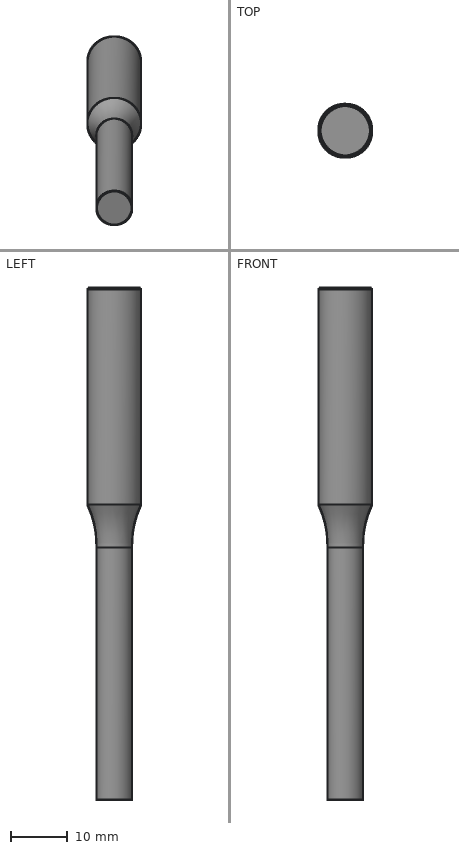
import cadquery as cq
import math

overall_length = 90.47
shank_diameter = 9.525
shank_length = 38.35
shank_chamfer = 0.4
cutter_diameter = 6.35
cutter_length = 44.6
cutter_chamfer = 0.1
neck_fillet_radius = 15.6

shank_radius = shank_diameter / 2
cutter_radius = cutter_diameter / 2
shank_bottom = overall_length - shank_length
radius_step = shank_radius - cutter_radius

fillet_height = math.sqrt(neck_fillet_radius**2 - (neck_fillet_radius - radius_step) ** 2)
collar_top = shank_bottom - fillet_height
half_angle = math.asin(fillet_height / neck_fillet_radius) / 2
fillet_mid_radius = cutter_radius + neck_fillet_radius * (1 - math.cos(half_angle))
fillet_mid_height = collar_top + neck_fillet_radius * math.sin(half_angle)


def make_shank():
    """Shank with a chamfered top, flaring in through the neck to a short collar."""
    profile = (
        cq.Workplane("XZ")
        .moveTo(0, cutter_length)
        .lineTo(cutter_radius, cutter_length)
        .lineTo(cutter_radius, collar_top)
        .threePointArc((fillet_mid_radius, fillet_mid_height), (shank_radius, shank_bottom))
        .lineTo(shank_radius, overall_length)
        .lineTo(0, overall_length)
        .close()
    )
    return profile.revolve(360, (0, 0, 0), (0, 1, 0)).faces(">Z").chamfer(shank_chamfer)


def make_cutter():
    """Plain cutting cylinder with a lightly chamfered tip, butted against the collar."""
    blank = cq.Workplane("XY").circle(cutter_radius).extrude(cutter_length)
    return blank.faces("<Z").chamfer(cutter_chamfer)


shank = make_shank()
cutter = make_cutter()

result = cq.Compound.makeCompound([shank.val(), cutter.val()])